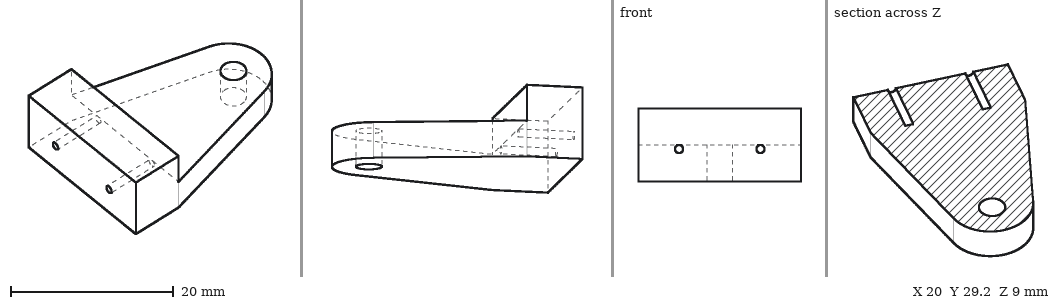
import cadquery as cq
import math

width = 20.0
length = 29.23
block_height = 9.0
block_depth = 7.0
plate_thickness = block_height / 2

tip_radius = 5.32
pivot_diameter = 3.2
pivot_to_tip = 4.53

pin_diameter = 1.0
pin_spacing = width / 2
pin_height = 4.0
pin_depth = block_depth


def make_block():
    """Upright block, with its front face at Y = 0 and its base at Z = 0."""
    return cq.Workplane("XY").box(width, block_depth, block_height, centered=(True, False, False))


def make_arm():
    """Tapered plate whose straight sides run tangent into the round tip."""
    half_width = width / 2
    tip_center_y = length - tip_radius
    reach = tip_center_y - block_depth
    corner_distance = math.hypot(half_width, reach)
    tangent_angle = math.acos(tip_radius / corner_distance) - math.atan2(reach, half_width)
    tangent_x = tip_radius * math.cos(tangent_angle)
    tangent_y = tip_center_y + tip_radius * math.sin(tangent_angle)
    return (
        cq.Workplane("XY")
        .moveTo(-half_width, block_depth)
        .lineTo(half_width, block_depth)
        .lineTo(tangent_x, tangent_y)
        .threePointArc((0, length), (-tangent_x, tangent_y))
        .close()
        .extrude(plate_thickness)
    )


def make_pivot_hole():
    """Vertical cutter through the arm near its tip."""
    return (
        cq.Workplane("XY")
        .center(0, length - pivot_to_tip)
        .circle(pivot_diameter / 2)
        .extrude(plate_thickness)
    )


def make_pin_holes():
    """Pair of cutters running back from the front face of the block."""
    return (
        cq.Workplane("XZ")
        .pushPoints([(side * pin_spacing / 2, pin_height) for side in (-1, 1)])
        .circle(pin_diameter / 2)
        .extrude(-pin_depth)
    )


result = make_block().union(make_arm()).cut(make_pivot_hole()).cut(make_pin_holes())